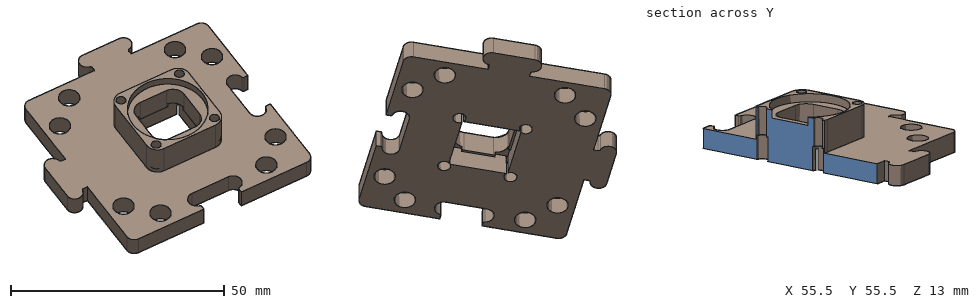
import cadquery as cq
import math

plate_side = 50.0
plate_thickness = 5.0
plate_corner_radius = 2.0
mount_hole_diameter = 5.0
mount_hole_near = 14.5
mount_hole_far = 20.8

lobe_radius = 2.0
lobe_spacing = 10.0
overall_side = 55.5
tab_reach = overall_side - plate_side
lobe_offset = tab_reach - lobe_radius
neck_fillet = 0.5
root_overlap = 0.55
socket_clearance = 0.1

boss_side = 20.05
total_height = 13.0
boss_corner_radius = 3.0
screw_hole_diameter = 2.3
screw_hole_spacing = 16.0
screw_head_diameter = 3.0
recess_diameter = 18.9
recess_depth = 2.0

window_side = 13.1
window_corner_radius = 3.0
pocket_side = 14.2
pocket_depth = 5.0
relief_inner = 4.0
relief_depth = 6.0
screw_head_depth = relief_depth


def rounded_block(side, height, radius):
    """Square block on the ground plane with rounded vertical edges."""
    return cq.Workplane("XY").box(side, side, height, centered=(True, True, False)).edges("|Z").fillet(radius)


def joint_key(edge_x, clearance):
    """Key pointing to -X from edge_x: a straight neck that ends in two round lobes.

    The clearance grows the outline on every side, which also tightens the inner fillets.
    """
    lobe_x = edge_x - lobe_offset
    lobe_y = lobe_spacing / 2
    tip_x = edge_x - tab_reach - clearance
    radius = lobe_radius + clearance
    fillet = neck_fillet - clearance
    neck_half = lobe_y + clearance
    fillet_y = neck_half + fillet
    fillet_rise = fillet_y - lobe_y
    fillet_x = lobe_x + math.sqrt((radius + fillet) ** 2 - fillet_rise**2)
    touch = radius / (radius + fillet)
    touch_x = lobe_x + (fillet_x - lobe_x) * touch
    touch_y = lobe_y + fillet_rise * touch
    mid_angle = (math.pi + math.atan2(fillet_rise, fillet_x - lobe_x)) / 2
    lobe_mid = (lobe_x + radius * math.cos(mid_angle), lobe_y + radius * math.sin(mid_angle))
    return (
        cq.Workplane("XY")
        .moveTo(edge_x + root_overlap, 0)
        .lineTo(edge_x + root_overlap, neck_half)
        .lineTo(fillet_x, neck_half)
        .radiusArc((touch_x, touch_y), fillet)
        .threePointArc(lobe_mid, (tip_x, lobe_y))
        .lineTo(tip_x, 0)
        .close()
        .extrude(plate_thickness)
        .mirror("XZ", union=True)
    )


def quarter_turn(solid):
    return solid.rotate((0, 0, 0), (0, 0, 1), 90)


half_side = plate_side / 2
tab = joint_key(-half_side, 0)
socket = joint_key(half_side, socket_clearance)
plate = rounded_block(plate_side, plate_thickness, plate_corner_radius)
plate = plate.union(tab).union(quarter_turn(tab))
plate = plate.cut(socket).cut(quarter_turn(socket))

mount_points = []
for sx in (-1, 1):
    for sy in (-1, 1):
        mount_points.append((sx * mount_hole_near, sy * mount_hole_far))
        mount_points.append((sx * mount_hole_far, sy * mount_hole_near))
mount_holes = (
    cq.Workplane("XY").pushPoints(mount_points).circle(mount_hole_diameter / 2).extrude(plate_thickness)
)

boss = rounded_block(boss_side, total_height, boss_corner_radius)
window = rounded_block(window_side, total_height, window_corner_radius)
recess = (
    cq.Workplane("XY", origin=(0, 0, total_height - recess_depth))
    .circle(recess_diameter / 2)
    .extrude(recess_depth)
)


def at_screws(diameter, height):
    """Cylinders from the ground plane at the four screw positions."""
    return (
        cq.Workplane("XY")
        .rect(screw_hole_spacing, screw_hole_spacing, forConstruction=True)
        .vertices()
        .circle(diameter / 2)
        .extrude(height)
    )


screw_holes = at_screws(screw_hole_diameter, total_height)
screw_heads = at_screws(screw_head_diameter, screw_head_depth)
pocket = cq.Workplane("XY").rect(pocket_side, pocket_side).extrude(pocket_depth)

relief_side = pocket_side / 2 - relief_inner
relief_spacing = pocket_side - relief_side
corner_reliefs = (
    cq.Workplane("XY")
    .rect(relief_spacing, relief_spacing, forConstruction=True)
    .vertices()
    .rect(relief_side, relief_side)
    .extrude(relief_depth)
)

result = plate.cut(mount_holes).union(boss)
for cutter in (window, recess, screw_holes, screw_heads, pocket, corner_reliefs):
    result = result.cut(cutter)